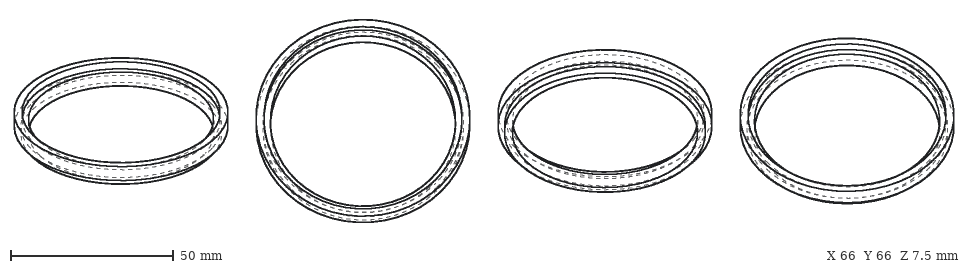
import cadquery as cq

rim_diameter = 66.0
spigot_diameter = 62.0
seat_diameter = 61.1
bore_diameter = 57.1

total_height = 7.5
spigot_height = 2.5
seat_depth = 2.5

rim_height = total_height - spigot_height


def disc(diameter, height, bottom):
    """Solid disc on the Z axis, rising from the given bottom height."""
    return cq.Workplane("XY").workplane(offset=bottom).circle(diameter / 2).extrude(height)


spigot = disc(spigot_diameter, spigot_height, 0)
rim = disc(rim_diameter, rim_height, spigot_height)
body = spigot.union(rim)

bore = disc(bore_diameter, total_height, 0)
seat = disc(seat_diameter, seat_depth, total_height - seat_depth)

result = body.cut(bore).cut(seat)